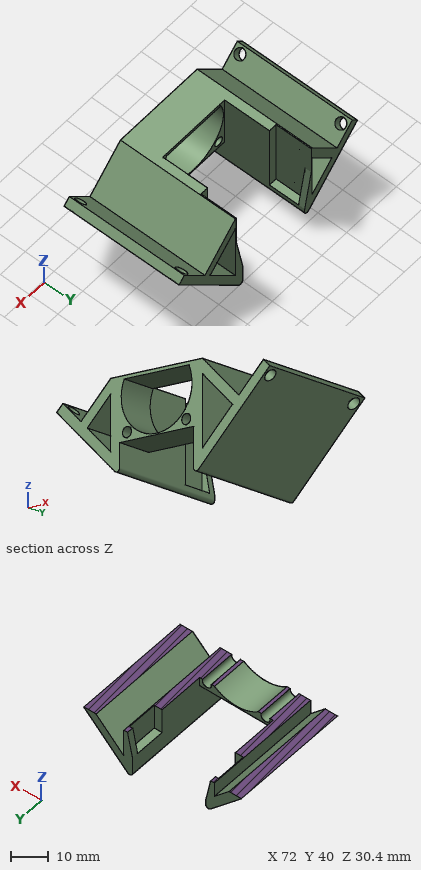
import cadquery as cq
import math

length = 40.0
left_tip_x = -33.8
right_tip_x = left_tip_x + 72
tip_z = -6.1
channel_half_width = 12.45
wall = 3.0
toe_radius = 1.0

bridge_length = 12.2
bridge_bottom_z = -18.15
bore_radius = 11.95
bore_z = -5.8
bore_flat_z = -1.0
pin_hole_diameter = 3.0
pin_hole_x = 10.0
pin_hole_z = -15.7

arm_hole_diameter = 3.5
large_arm_hole_diameter = 3.75
arm_hole_tip_distance = 2.5
arm_hole_end_distance = 2.45

pocket_length = 12.25
pocket_depth = 2.7
pocket_floor_z = -23.6
latch_length = 2.15
latch_top_z = -10.2

corner_x = channel_half_width + wall
diagonal = wall * math.sqrt(2)
tip_step = wall / math.sqrt(2)


def prism(points, start_y, end_y):
    """Extrude an XZ outline between two Y positions."""
    outline = cq.Workplane("XZ", origin=(0, start_y, 0)).polyline(points).close()
    return outline.extrude(start_y - end_y)


def side_frame(tip_x):
    """Right-hand wall, brace and arm, with the triangular opening between them."""
    arm_drop = tip_x - tip_z
    toe_z = channel_half_width - arm_drop
    valley_x = (corner_x + arm_drop - diagonal) / 2
    outline = [
        (channel_half_width, 0),
        (corner_x, 0),
        (valley_x, corner_x - valley_x),
        (tip_x - tip_step, tip_z + tip_step),
        (tip_x, tip_z),
        (channel_half_width, toe_z),
    ]
    frame = prism(outline, 0, length)
    toe = cq.selectors.NearestToPointSelector((channel_half_width, length / 2, toe_z))
    frame = frame.edges(toe).fillet(toe_radius)

    opening_x = valley_x - diagonal / 2
    opening = [
        (corner_x, -diagonal),
        (opening_x, corner_x - diagonal - opening_x),
        (corner_x, corner_x - arm_drop + diagonal),
    ]
    return frame.cut(prism(opening, 0, length))


def arm_holes(tip_x, rear_diameter):
    """Drills square to the right-hand arm, one near each end."""
    along = arm_hole_tip_distance / math.sqrt(2)
    center_x = tip_x - tip_step - along
    center_z = tip_z + tip_step - along
    axis = cq.Vector(1, 0, -1)
    drills = cq.Workplane("XY")
    holes = [
        (arm_hole_end_distance, arm_hole_diameter),
        (length - arm_hole_end_distance, rear_diameter),
    ]
    for y, diameter in holes:
        start = cq.Vector(center_x, y, center_z) - axis * wall
        drill = cq.Solid.makeCylinder(diameter / 2, 3 * wall, start, axis)
        drills = drills.add(drill)
    return drills.combine()


def latch_pocket():
    """Right-hand wall pocket, open at the top, with a tapered latch at its rear end."""
    pocket_x = channel_half_width + pocket_depth
    recess = prism(
        [
            (channel_half_width, 0),
            (pocket_x, 0),
            (pocket_x, pocket_floor_z),
            (channel_half_width, pocket_floor_z),
        ],
        length - pocket_length,
        length,
    )
    latch = prism(
        [
            (pocket_x, latch_top_z),
            (pocket_x, pocket_floor_z),
            (channel_half_width, pocket_floor_z),
        ],
        length - latch_length,
        length,
    )
    return recess.cut(latch)


def side(tip_x, rear_hole_diameter):
    """Complete right-hand side, with its arm holes and latch pocket."""
    holes = arm_holes(tip_x, rear_hole_diameter)
    return side_frame(tip_x).cut(holes).cut(latch_pocket())


def bridge():
    """Block joining the walls at the front."""
    return prism(
        [
            (-channel_half_width, 0),
            (channel_half_width, 0),
            (channel_half_width, bridge_bottom_z),
            (-channel_half_width, bridge_bottom_z),
        ],
        0,
        bridge_length,
    )


def bore():
    """Round bore with a flat top."""
    half_flat = math.sqrt(bore_radius**2 - (bore_flat_z - bore_z) ** 2)
    return (
        cq.Workplane("XZ")
        .moveTo(-half_flat, bore_flat_z)
        .threePointArc((0, bore_z - bore_radius), (half_flat, bore_flat_z))
        .close()
        .extrude(-bridge_length)
    )


def pin_holes():
    return (
        cq.Workplane("XZ")
        .pushPoints([(-pin_hole_x, pin_hole_z), (pin_hole_x, pin_hole_z)])
        .circle(pin_hole_diameter / 2)
        .extrude(-bridge_length)
    )


right_side = side(right_tip_x, large_arm_hole_diameter)
left_side = side(-left_tip_x, arm_hole_diameter).mirror("YZ")
front_bridge = bridge().cut(bore()).cut(pin_holes())
result = front_bridge.union(right_side).union(left_side)